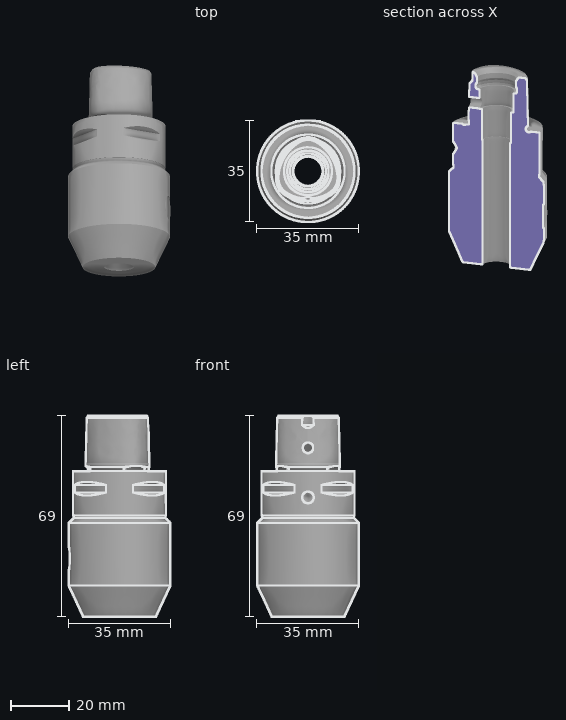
import cadquery as cq
import math


flange_dia = 32.0
flange_bottom_z = -15.2
relief_dia = 31.6
relief_bottom_z = -16.1
body_dia = 35.0
shoulder_z = relief_bottom_z - (body_dia - relief_dia) / 2
nose_start_z = -39.3
nose_dia = 25.0
bottom_z = -50.0

shank_top_z = 19.0
gauge_width = 22.0
gauge_z = 2.5
eccentricity = 0.7
lobe_curve_points = 36
shank_taper = 1 / 20
collar_bottom_z = 1.45
neck_width = 21.6
rim_chamfer_height = 0.85
rim_chamfer_width = 0.5

ring_radius = 11.85
ring_section_radius = 1.03
ring_z = 0.7

rim_radius = 16.5 / 2
rim_bevel_radius = 7.75
lip_radius = 7.05
groove_radius = 15.0 / 2
ledge_radius = 7.2
clamping_bore_profile = [
    (rim_radius, 0.0),
    (rim_bevel_radius, 0.5),
    (lip_radius, 1.7),
    (lip_radius, 3.5),
    (groove_radius, 4.3),
    (groove_radius, 5.35),
    (ledge_radius, 5.9),
]
ledge_z = shank_top_z - clamping_bore_profile[-1][1]
shank_bore_dia = 12.3
shank_bore_floor_z = 6.1
clearance_dia = 10.5
clearance_bottom_z = -5.0
tool_bore_dia = 10.0

slot_count = 4
slot_first_angle = 45.0
slot_floor_distance = 14.1
slot_floor_height = 2.5
slot_z = -6.05
slot_flank_angle = 30.0

cross_hole_dia = 3.6
cross_hole_z = 8.0
keyway_dia = 5.0
keyway_axis_y = -11.35
keyway_end_z = 15.85
keyway_point_angle = 90.0
dimple_dia = 4.0
dimple_z = -9.05
dimple_straight_depth = 0.25
dimple_point_angle = 118.0

screw_dia = 8.38
screw_face_y = 17.2
screw_z = -30.0
screw_root_depth = 1.0

cut_margin = 1.0


def revolve_profile(points):
    """Revolve (radius, z) points, closed along the Z axis."""
    closed = [(0, points[0][1])] + points + [(0, points[-1][1])]
    return cq.Workplane("XZ").polyline(closed).close().revolve(360, (0, 0), (0, 1))


def cylinder(diameter, low_z, high_z):
    return cq.Workplane("XY").workplane(offset=low_z).circle(diameter / 2).extrude(high_z - low_z)


def lobed_wire(width, z):
    """Three-lobed curve of constant width, traced by the angle of its normal from the -Y side."""

    def point(index):
        angle = 2 * math.pi * index / lobe_curve_points - math.pi / 2
        support = width / 2 - eccentricity * math.sin(3 * angle)
        slope = -3 * eccentricity * math.cos(3 * angle)
        x = support * math.cos(angle) - slope * math.sin(angle)
        y = support * math.sin(angle) + slope * math.cos(angle)
        return cq.Vector(x, y, z)

    points = [point(index) for index in range(lobe_curve_points)]
    return cq.Wire.assembleEdges([cq.Edge.makeSpline(points, periodic=True)])


def lobed_section(bottom_width, low_z, top_width, high_z):
    wires = [lobed_wire(bottom_width, low_z), lobed_wire(top_width, high_z)]
    return cq.Workplane(cq.Solid.makeLoft(wires, True))


def shank_width(z):
    return gauge_width - shank_taper * (z - gauge_z)


def make_body():
    return revolve_profile([
        (flange_dia / 2, 0),
        (flange_dia / 2, flange_bottom_z),
        (relief_dia / 2, flange_bottom_z),
        (relief_dia / 2, relief_bottom_z),
        (body_dia / 2, shoulder_z),
        (body_dia / 2, nose_start_z),
        (nose_dia / 2, bottom_z),
    ])


def make_shank():
    chamfer_z = shank_top_z - rim_chamfer_height
    rim_width = shank_width(chamfer_z) - 2 * rim_chamfer_width
    neck = lobed_section(neck_width, 0, neck_width, collar_bottom_z)
    collar = lobed_section(gauge_width, collar_bottom_z, gauge_width, gauge_z)
    taper = lobed_section(gauge_width, gauge_z, shank_width(chamfer_z), chamfer_z)
    rim = lobed_section(shank_width(chamfer_z), chamfer_z, rim_width, shank_top_z)
    return neck.union(collar).union(taper).union(rim)


def make_ring_groove():
    section = cq.Workplane("XZ").center(ring_radius, ring_z).circle(ring_section_radius)
    return section.revolve(360, (-ring_radius, 0), (-ring_radius, 1))


def make_bores():
    clamping_bore = revolve_profile([(r, shank_top_z - depth) for r, depth in clamping_bore_profile])
    shank_bore = cylinder(shank_bore_dia, shank_bore_floor_z, ledge_z)
    clearance = cylinder(clearance_dia, clearance_bottom_z, shank_bore_floor_z)
    tool_bore = cylinder(tool_bore_dia, bottom_z, clearance_bottom_z)
    return clamping_bore.union(shank_bore).union(clearance).union(tool_bore)


def make_gripper_slot():
    """Flat-floored slot with flared flanks, facing +X before it is turned into place."""
    outer = flange_dia / 2 + cut_margin
    half_floor = slot_floor_height / 2
    flare = (outer - slot_floor_distance) * math.tan(math.radians(slot_flank_angle))
    return (
        cq.Workplane("XZ")
        .polyline([
            (slot_floor_distance, slot_z - half_floor),
            (outer, slot_z - half_floor - flare),
            (outer, slot_z + half_floor + flare),
            (slot_floor_distance, slot_z + half_floor),
        ])
        .close()
        .extrude(flange_dia / 2, both=True)
    )


def make_cross_hole():
    return cq.Workplane("XZ", origin=(0, 0, cross_hole_z)).circle(cross_hole_dia / 2).extrude(gauge_width)


def make_keyway():
    """Drilled notch, parallel to the axis, breaking out of the front of the shank."""
    radius = keyway_dia / 2
    point_depth = radius / math.tan(math.radians(keyway_point_angle / 2))
    tip = cq.Solid.makeCone(radius, 0, point_depth, cq.Vector(0, 0, keyway_end_z), cq.Vector(0, 0, -1))
    drill = cylinder(keyway_dia, keyway_end_z, shank_top_z).union(cq.Workplane(tip))
    return drill.translate((0, keyway_axis_y, 0))


def make_dimple():
    radius = dimple_dia / 2
    point_y = -flange_dia / 2 + dimple_straight_depth
    point_depth = radius / math.tan(math.radians(dimple_point_angle / 2))
    tip = cq.Solid.makeCone(radius, 0, point_depth, cq.Vector(0, point_y, dimple_z), cq.Vector(0, 1, 0))
    plane = cq.Workplane("XZ", origin=(0, point_y, dimple_z))
    return plane.circle(radius).extrude(2 * dimple_straight_depth).union(cq.Workplane(tip))


def screw_cylinder(start_y, end_y):
    plane = cq.Workplane("XZ", origin=(0, start_y, screw_z))
    return plane.circle(screw_dia / 2).extrude(start_y - end_y)


result = make_body().cut(make_ring_groove())
result = result.union(make_shank().cut(make_ring_groove()))

for index in range(slot_count):
    turn = slot_first_angle + index * 360 / slot_count
    result = result.cut(make_gripper_slot().rotate((0, 0, 0), (0, 0, 1), turn))

result = result.cut(make_bores())
result = result.cut(make_cross_hole())
result = result.cut(make_keyway())
result = result.cut(make_dimple())

result = result.union(screw_cylinder(flange_dia / 2 - screw_root_depth, screw_face_y))
result = result.cut(screw_cylinder(screw_face_y, body_dia / 2 + cut_margin))